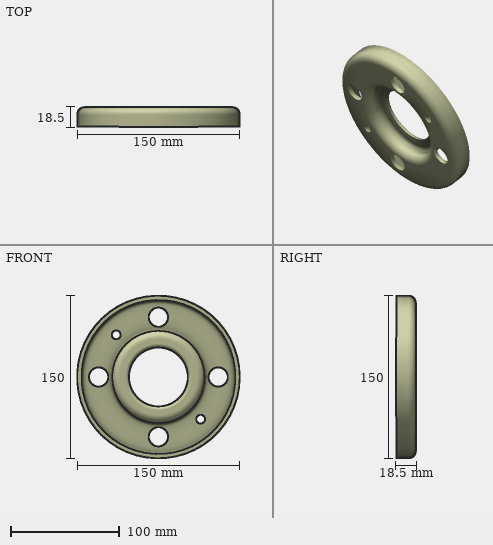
import cadquery as cq

outer_radius = 75.0
sheet = 4.0
inner_bend = 3.0
outer_bend = inner_bend + sheet
rim_height = 18.0
boss_height = 18.5
boss_radius = 42.5
bore_radius = 27.0
bore_edge_radius = 3.6
fastener_diameter = 17.5
fastener_circle_radius = 55.0
pin_diameter = 8.0
pin_offset = 38.8


def disc(radius, back, front):
    """Solid disc about Y, between two distances in front of the back face."""
    return cq.Workplane("XZ").workplane(offset=back).circle(radius).extrude(front - back)


def edges_within(radius, depth):
    """Selector for circular edges of about this radius, at one distance in front of the back face."""
    margin = 0.2
    reach = radius + margin
    return cq.selectors.BoxSelector(
        (-reach, -depth - margin, -reach),
        (reach, -depth + margin, reach),
        boundingbox=True,
    )


def dish():
    """Round cup with a bent rim and a flat web."""
    shell = disc(outer_radius, 0, rim_height).faces(">Y").edges().fillet(outer_bend)
    cavity = disc(outer_radius - sheet, sheet, rim_height).faces(">Y").edges().fillet(inner_bend)
    return shell.cut(cavity)


def add_boss(body):
    """Raised hollow centre, blended into the web on both sides."""
    boss = disc(boss_radius, 0, boss_height).faces("<Y").edges().fillet(outer_bend)
    body = body.union(boss)
    web_joint = edges_within(boss_radius, sheet)
    body = body.edges(web_joint).fillet(inner_bend)
    hollow_radius = boss_radius - sheet
    hollow = disc(hollow_radius, 0, boss_height - sheet).faces("<Y").edges().fillet(inner_bend)
    body = body.cut(hollow)
    mouth = edges_within(hollow_radius, 0)
    return body.edges(mouth).fillet(outer_bend)


def add_bore(body):
    """Central bore through the boss, rounded at its front edge."""
    body = body.cut(disc(bore_radius, 0, boss_height))
    return body.faces("<Y").edges(cq.selectors.RadiusNthSelector(0)).fillet(bore_edge_radius)


def hole_cutter(diameter, centres):
    """Cylinders that pierce the web at the given (X, Z) centres."""
    return cq.Workplane("XZ").pushPoints(centres).circle(diameter / 2).extrude(rim_height)


fastener_centres = [
    (fastener_circle_radius, 0),
    (0, fastener_circle_radius),
    (-fastener_circle_radius, 0),
    (0, -fastener_circle_radius),
]
pin_centres = [(-pin_offset, pin_offset), (pin_offset, -pin_offset)]

result = add_bore(add_boss(dish()))
result = result.cut(hole_cutter(fastener_diameter, fastener_centres))
result = result.cut(hole_cutter(pin_diameter, pin_centres))